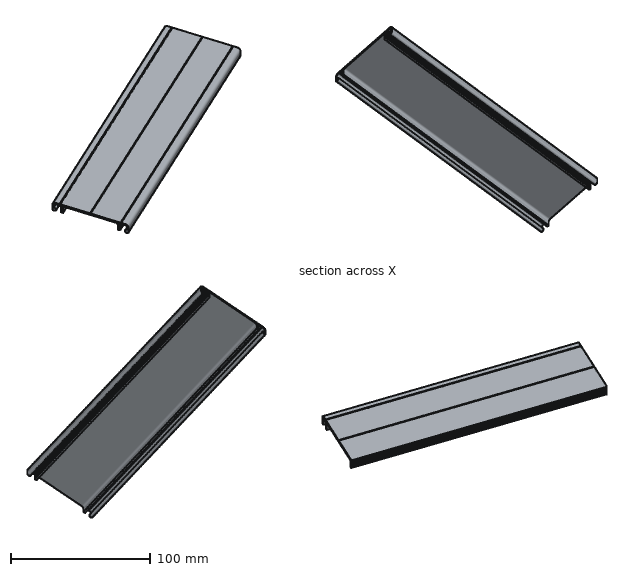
import cadquery as cq
import math

diagonal = math.sqrt(0.5)

width = 60.0
length = 200.0
height = 8.52

plate_thickness = 1.7
half_width = width / 2
plate_underside = height - plate_thickness

wall_thickness = 1.2
corner_radius = 2.9
corner_inner_radius = corner_radius - wall_thickness
wall_inner_x = half_width - wall_thickness
corner_center_x = half_width - corner_radius
corner_center_z = height - corner_radius
bead_radius = 1.5
bead_center_x = half_width - bead_radius
bead_center_z = bead_radius
bead_tip_x = half_width - 2 * bead_radius
bead_top_radius = wall_inner_x - bead_tip_x

lip_bottom = 6.3
lip_slope_run = height - wall_thickness - lip_bottom
lip_outer_x = 25.6
lip_inner_x = 23.9

leg_inner_x = 21.5
leg_outer_x = 23.2
leg_bottom = 0.5
leg_fillet = 1.6
neck_outer_x = 22.7
neck_bottom = 5.2
slot_top = 7.4
slot_undercut_x = 22.3
slot_undercut_bottom = 6.6

tooth_count = 6
tooth_pitch = 0.5
teeth_bottom = neck_bottom - tooth_count * tooth_pitch

groove_width = 0.6
groove_depth = 0.5
groove_spacing = 24.0


def tooth_points():
    """Sawtooth vertices down the outer face of the leg, tip then root for each tooth."""
    points = []
    for index in range(tooth_count):
        tooth_top = neck_bottom - index * tooth_pitch
        points.append((leg_outer_x, tooth_top - tooth_pitch / 2))
        points.append((neck_outer_x, tooth_top - tooth_pitch))
    return points


def half_profile():
    """Closed section of the +X half, bounded by the symmetry plane."""
    return (
        cq.Workplane("XZ", origin=(0, length / 2, 0))
        .moveTo(0, height)
        .lineTo(corner_center_x, height)
        .threePointArc(
            (corner_center_x + corner_radius * diagonal, corner_center_z + corner_radius * diagonal),
            (half_width, corner_center_z),
        )
        .lineTo(half_width, bead_center_z)
        .threePointArc((bead_center_x, 0), (bead_tip_x, bead_center_z))
        .threePointArc(
            (wall_inner_x - bead_top_radius * diagonal, bead_center_z + bead_top_radius * diagonal),
            (wall_inner_x, bead_center_z + bead_top_radius),
        )
        .lineTo(wall_inner_x, corner_center_z)
        .threePointArc(
            (
                corner_center_x + corner_inner_radius * diagonal,
                corner_center_z + corner_inner_radius * diagonal,
            ),
            (corner_center_x, height - wall_thickness),
        )
        .lineTo(lip_outer_x + lip_slope_run, height - wall_thickness)
        .lineTo(lip_outer_x, lip_bottom)
        .lineTo(lip_inner_x, lip_bottom)
        .lineTo(lip_inner_x, slot_top)
        .lineTo(slot_undercut_x, slot_top)
        .lineTo(neck_outer_x, slot_undercut_bottom)
        .lineTo(neck_outer_x, neck_bottom)
        .polyline(tooth_points(), includeCurrent=True)
        .lineTo(leg_outer_x, teeth_bottom)
        .lineTo(leg_outer_x, leg_bottom)
        .lineTo(leg_inner_x, leg_bottom)
        .lineTo(leg_inner_x, plate_underside - leg_fillet)
        .threePointArc(
            (
                leg_inner_x - leg_fillet * (1 - diagonal),
                plate_underside - leg_fillet * (1 - diagonal),
            ),
            (leg_inner_x - leg_fillet, plate_underside),
        )
        .lineTo(0, plate_underside)
        .close()
    )


def groove(center_x):
    """Cutter for one V groove along the full length."""
    return (
        cq.Workplane("XZ", origin=(center_x, length / 2, height))
        .polyline([(-groove_width / 2, 0), (groove_width / 2, 0), (0, -groove_depth)])
        .close()
        .extrude(length)
    )


half_strip = half_profile().extrude(length)
result = half_strip.union(half_strip.mirror("YZ"))
for center_x in (-groove_spacing, 0, groove_spacing):
    result = result.cut(groove(center_x))